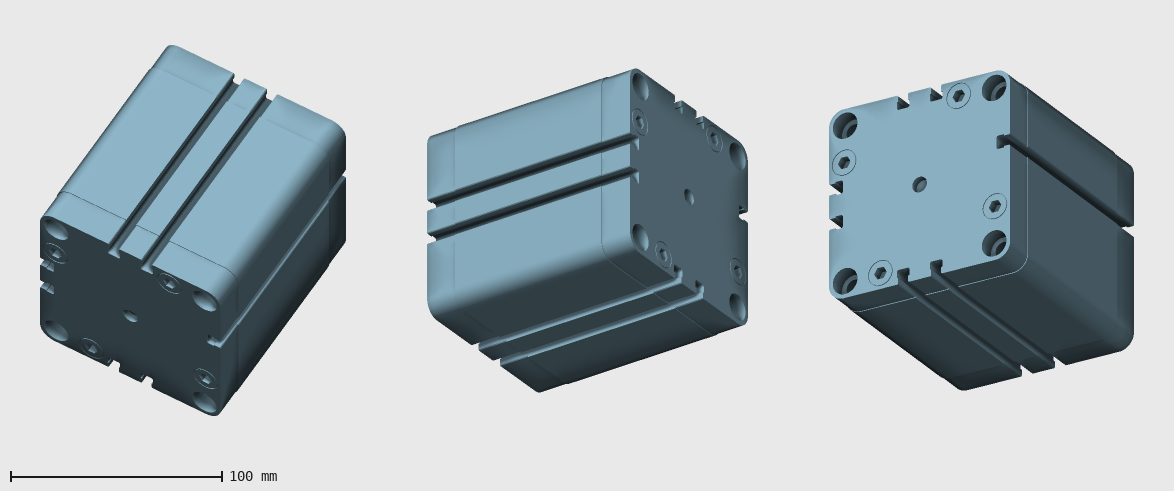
import cadquery as cq
import math

TOTAL_LENGTH = 124.0
ROD_LENGTH = 7.9
CAP_LENGTH = 16.1
TUBE_SIDE = 100.0
CAP_SIDE = 99.2
TUBE_CORNER_RADIUS = 8.4
CAP_CORNER_RADIUS = TUBE_CORNER_RADIUS - (TUBE_SIDE - CAP_SIDE) / 2

FRONT_Y = -TOTAL_LENGTH / 2
BACK_Y = TOTAL_LENGTH / 2 - ROD_LENGTH
BODY_LENGTH = BACK_Y - FRONT_Y
TUBE_LENGTH = BODY_LENGTH - 2 * CAP_LENGTH

SLOT_MOUTH = 5.5
SLOT_WIDTH = 7.0
SLOT_LEDGE = 3.8
SLOT_DEPTH = 7.9
SLOT_FLOOR_RADIUS = 1.1
SLOT_OFFSET = 9.0
SINGLE_SLOT_OFFSET = 11.8
LIP_CHAMFER = 0.43

MOUNT_SPACING = 81.6
MOUNT_DIAMETER = 8.5
MOUNT_BORE_DIAMETER = 13.5
MOUNT_BORE_DEPTH = 8.7

SCREW_EDGE_OFFSET = 41.3
SCREW_SIDE_OFFSET = 21.5
SCREW_SEAT_DIAMETER = 13.5
SCREW_HEAD_DIAMETER = 12.5
SCREW_GAP_DEPTH = 0.5
HEX_ACROSS_FLATS = 6.0
HEX_DEPTH = 5.0

CENTRE_HOLE_DIAMETER = 8.0
CENTRE_HOLE_DEPTH = 4.0

ROD_DIAMETER = 20.0
ROD_TIP_RADIUS = 2.5
ROD_TIP_LENGTH = 2.0
FLATS_WIDTH = 17.1
FLATS_LENGTH = 6.2


def plane_at(y):
    """Plane across the block: local x is X, local y is Z, and the normal is -Y."""
    return cq.Workplane(cq.Plane(origin=(0, y, 0), xDir=(1, 0, 0), normal=(0, -1, 0)))


def extrude_back(sketch, length):
    """Extrude a sketch from its plane toward +Y."""
    return sketch.extrude(-length)


def rounded_block(y, side, length, radius):
    return extrude_back(plane_at(y).rect(side, side), length).edges("|Y").fillet(radius)


def slot_cutter(y, length, side, offset, turn, lip):
    """T-slot in the top face at X = offset, turned about the Y axis; lip bevels its mouth."""
    floor = TUBE_SIDE / 2 - SLOT_DEPTH
    ledge = TUBE_SIDE / 2 - SLOT_LEDGE
    surface = side / 2
    middle = TUBE_SIDE / 2 - SLOT_DEPTH / 2
    mouth = extrude_back(
        plane_at(y).center(offset, middle).rect(SLOT_MOUTH, SLOT_DEPTH), length
    )
    chamber = extrude_back(
        plane_at(y).center(offset, (floor + ledge) / 2).rect(SLOT_WIDTH, ledge - floor), length
    )
    chamber = chamber.edges("|Y and <Z").fillet(SLOT_FLOOR_RADIUS)
    cutter = mouth.union(chamber)
    if lip > 0:
        half = SLOT_MOUTH / 2
        bevel = plane_at(y).polyline(
            [
                (offset - half - lip, surface),
                (offset + half + lip, surface),
                (offset + half, surface - lip),
                (offset - half, surface - lip),
            ]
        ).close()
        cutter = cutter.union(extrude_back(bevel, length))
    return cutter.rotate((0, 0, 0), (0, 1, 0), turn)


def slotted_section(y, side, length, radius, top_lip, side_lip):
    """One length of the block with its seven T-slots."""
    section = rounded_block(y, side, length, radius)
    faces = [
        (0, (-SLOT_OFFSET, SLOT_OFFSET), top_lip),
        (180, (-SLOT_OFFSET, SLOT_OFFSET), top_lip),
        (-90, (-SLOT_OFFSET, SLOT_OFFSET), side_lip),
        (90, (-SINGLE_SLOT_OFFSET,), side_lip),
    ]
    for turn, offsets, lip in faces:
        for offset in offsets:
            section = section.cut(slot_cutter(y, length, side, offset, turn, lip))
    return section


def block():
    tube_y = FRONT_Y + CAP_LENGTH
    tube = slotted_section(tube_y, TUBE_SIDE, TUBE_LENGTH, TUBE_CORNER_RADIUS, 0, LIP_CHAMFER)
    for y in (FRONT_Y, BACK_Y - CAP_LENGTH):
        cap = slotted_section(y, CAP_SIDE, CAP_LENGTH, CAP_CORNER_RADIUS, LIP_CHAMFER, LIP_CHAMFER)
        tube = tube.union(cap)
    return tube


def mounting_holes():
    corners = plane_at(FRONT_Y).rect(MOUNT_SPACING, MOUNT_SPACING, forConstruction=True).vertices()
    holes = extrude_back(corners.circle(MOUNT_DIAMETER / 2), BODY_LENGTH)
    bores = extrude_back(corners.circle(MOUNT_BORE_DIAMETER / 2), MOUNT_BORE_DEPTH)
    return holes.union(bores)


def screw_recesses():
    """Ring gap around each screw head, and its hexagon socket."""
    points = [
        (-SCREW_EDGE_OFFSET, SCREW_SIDE_OFFSET),
        (SCREW_SIDE_OFFSET, SCREW_EDGE_OFFSET),
        (SCREW_EDGE_OFFSET, -SCREW_SIDE_OFFSET),
        (-SCREW_SIDE_OFFSET, -SCREW_EDGE_OFFSET),
    ]
    heads = plane_at(FRONT_Y).pushPoints(points)
    gaps = extrude_back(
        heads.circle(SCREW_SEAT_DIAMETER / 2).circle(SCREW_HEAD_DIAMETER / 2), SCREW_GAP_DEPTH
    )
    hex_across_corners = HEX_ACROSS_FLATS / math.cos(math.pi / 6)
    sockets = extrude_back(heads.polygon(6, hex_across_corners), HEX_DEPTH)
    return gaps.union(sockets)


def centre_hole():
    return extrude_back(plane_at(FRONT_Y).circle(CENTRE_HOLE_DIAMETER / 2), CENTRE_HOLE_DEPTH)


def rod_end():
    """Rod with a rounded tip; each wrench flat runs out in a 45 degree shoulder."""
    end_y = BACK_Y + ROD_LENGTH
    radius = ROD_DIAMETER / 2
    half_flats = FLATS_WIDTH / 2
    flats_y = end_y - FLATS_LENGTH
    shoulder = flats_y - BACK_Y
    tip_inset = ROD_TIP_RADIUS - math.sqrt(ROD_TIP_RADIUS**2 - ROD_TIP_LENGTH**2)
    rod = (
        cq.Workplane("XY")
        .moveTo(0, BACK_Y)
        .lineTo(radius, BACK_Y)
        .lineTo(radius, end_y - ROD_TIP_LENGTH)
        .radiusArc((radius - tip_inset, end_y), -ROD_TIP_RADIUS)
        .lineTo(0, end_y)
        .close()
        .revolve(360, (0, 0, 0), (0, 1, 0))
    )
    envelope = (
        cq.Workplane("XY")
        .moveTo(-half_flats - shoulder, BACK_Y)
        .lineTo(half_flats + shoulder, BACK_Y)
        .lineTo(half_flats, flats_y)
        .lineTo(half_flats, end_y)
        .lineTo(-half_flats, end_y)
        .lineTo(-half_flats, flats_y)
        .close()
        .extrude(radius, both=True)
    )
    return rod.intersect(envelope)


result = (
    block()
    .cut(mounting_holes())
    .cut(screw_recesses())
    .cut(centre_hole())
    .union(rod_end())
)